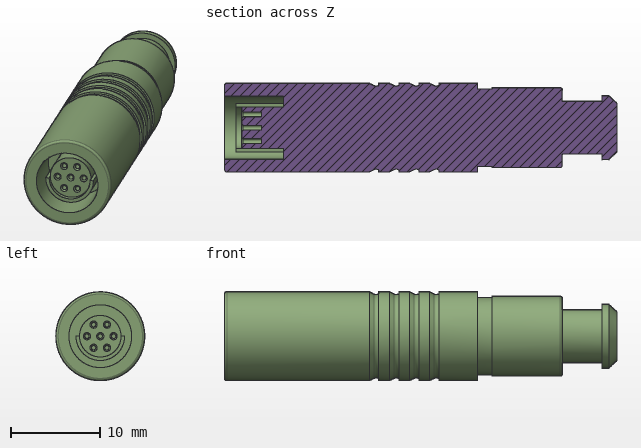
import math

import cadquery as cq

total_length = 44.0
body_radius = 10.0 / 2
body_end = 28.4
neck_radius = 4.35
sleeve_start = 30.0
sleeve_end = 37.9
sleeve_radius = 4.5
stem_radius = 3.0
flange_start = 42.3
flange_radius = 3.6
flange_chamfer_start = 43.08
flange_tip_radius = 2.75
edge_fillet = 0.25

groove_count = 4
first_groove_start = 16.25
groove_pitch = 2.25
groove_width = 1.05
groove_slope_depth = 0.25
groove_wall_depth = 0.2

socket_radius = 3.5
socket_depth = 6.6
insert_radius = 2.35
insert_face = 1.95
key_radius = 2.75
key_face = 1.3

ring_contact_count = 6
ring_radius = 1.5
contact_bore_radius = 0.25
contact_bore_depth = 2.2
contact_mouth_radius = 0.405
contact_lead_depth = contact_mouth_radius - contact_bore_radius


def cylinder(start, end, radius, y=0.0, z=0.0):
    """Cylinder along X between two stations."""
    return cq.Workplane("YZ", origin=(start, y, z)).circle(radius).extrude(end - start)


def revolve_about_x(profile):
    """Full turn of a closed XY profile about the part axis."""
    return profile.revolve(360, (0, 0, 0), (1, 0, 0))


def make_housing():
    body = cylinder(0, body_end, body_radius).faces("<X").edges().fillet(edge_fillet)
    neck = cylinder(body_end, sleeve_start, neck_radius)
    sleeve = cylinder(sleeve_start, sleeve_end, sleeve_radius).faces(">X").edges().fillet(edge_fillet)
    stem = cylinder(sleeve_end, flange_start, stem_radius)
    flange = revolve_about_x(
        cq.Workplane("XY")
        .moveTo(flange_start, 0)
        .lineTo(flange_start, flange_radius)
        .lineTo(flange_chamfer_start, flange_radius)
        .lineTo(total_length, flange_tip_radius)
        .lineTo(total_length, 0)
        .close()
    )
    return body.union(neck).union(sleeve).union(stem).union(flange)


def make_groove(start):
    """Groove that slopes down into a hollow floor and ends at a square wall."""
    end = start + groove_width
    return revolve_about_x(
        cq.Workplane("XY")
        .moveTo(start, body_radius)
        .lineTo(start + groove_width / 2, body_radius - groove_slope_depth)
        .tangentArcPoint((end, body_radius - groove_wall_depth), relative=False)
        .lineTo(end, body_radius)
        .close()
    )


def make_contact_hole(y, z):
    """Blind contact bore with a conical lead-in."""
    bore = cylinder(insert_face, insert_face + contact_bore_depth, contact_bore_radius, y, z)
    lead_in = (
        cq.Workplane("YZ", origin=(insert_face, y, z))
        .circle(contact_mouth_radius)
        .workplane(offset=contact_lead_depth)
        .circle(contact_bore_radius)
        .loft()
    )
    return bore.union(lead_in)


def make_key():
    """Lower half of a thin shell that stands out past the insert face."""
    shell = cylinder(key_face, socket_depth, key_radius).cut(cylinder(key_face, socket_depth, insert_radius))
    upper_half = (
        cq.Workplane("XY")
        .box(socket_depth, 2 * key_radius, key_radius, centered=(False, True, False))
        .translate((key_face, 0, 0))
    )
    return shell.cut(upper_half)


def make_insert():
    insert = cylinder(insert_face, socket_depth, insert_radius).union(make_key())
    centers = [(0.0, 0.0)]
    for i in range(ring_contact_count):
        angle = i * 2 * math.pi / ring_contact_count
        centers.append((ring_radius * math.cos(angle), ring_radius * math.sin(angle)))
    for y, z in centers:
        insert = insert.cut(make_contact_hole(y, z))
    return insert


housing = make_housing()
for i in range(groove_count):
    housing = housing.cut(make_groove(first_groove_start + i * groove_pitch))
socket = cylinder(0, socket_depth, socket_radius)
result = housing.cut(socket).union(make_insert())